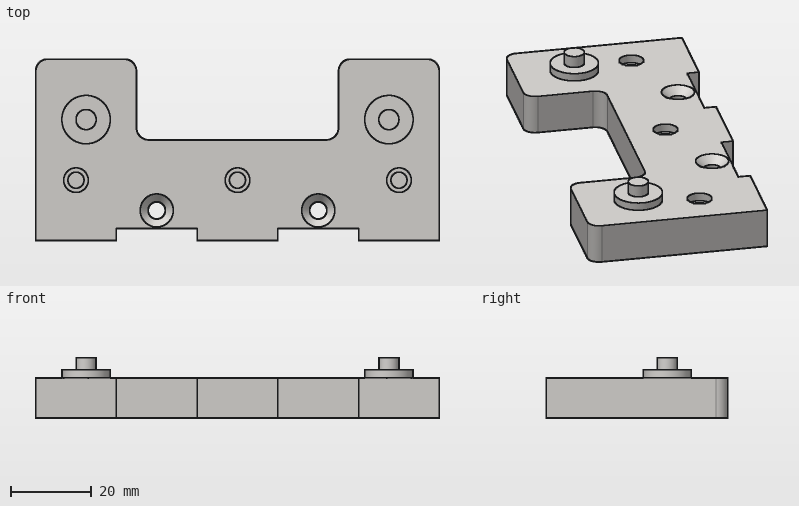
import cadquery as cq

length = 100.0
depth = 45.0
thickness = 10.0
arm_width = 25.0
web_depth = 25.0
corner_radius = 3.0

tooth_width = length / 5
notch_depth = 3.0
notch_starts = (tooth_width, 3 * tooth_width)

pin_inset = 12.5
pin_y = 30.0
collar_diameter = 12.0
collar_height = 2.0
pin_diameter = 5.0
pin_height = 3.0

blind_hole_inset = 10.0
blind_hole_y = 15.0
blind_hole_diameter = 4.0
blind_hole_depth = 2.3
counterbore_diameter = 6.1
counterbore_depth = 2.1

screw_y = 7.5
screw_diameter = 4.2
countersink_diameter = 8.2
countersink_angle = 90.0


def make_plate():
    plate = cq.Workplane("XY").box(length, depth, thickness, centered=False)
    gap = (
        cq.Workplane("XY")
        .box(length - 2 * arm_width, depth - web_depth, thickness, centered=False)
        .translate((arm_width, web_depth, 0))
    )
    plate = plate.cut(gap)
    rounded_edges = cq.selectors.BoxSelector((-1, web_depth - 1, -1), (length + 1, depth + 1, thickness + 1))
    plate = plate.edges("|Z").edges(rounded_edges).fillet(corner_radius)
    for start in notch_starts:
        notch = cq.Workplane("XY").box(tooth_width, notch_depth, thickness, centered=False)
        plate = plate.cut(notch.translate((start, 0, 0)))
    return plate


def make_pin(x):
    return (
        cq.Workplane("XY", origin=(x, pin_y, thickness))
        .circle(collar_diameter / 2)
        .extrude(collar_height)
        .faces(">Z")
        .workplane()
        .circle(pin_diameter / 2)
        .extrude(pin_height)
    )


def top_plane(plate):
    return plate.faces(">Z").workplane(origin=(0, 0, thickness))


plate = make_plate()

blind_points = [(x, blind_hole_y) for x in (blind_hole_inset, length / 2, length - blind_hole_inset)]
plate = (
    top_plane(plate)
    .pushPoints(blind_points)
    .cboreHole(blind_hole_diameter, counterbore_diameter, counterbore_depth, blind_hole_depth)
)

screw_points = [(start + tooth_width / 2, screw_y) for start in notch_starts]
plate = top_plane(plate).pushPoints(screw_points).cskHole(screw_diameter, countersink_diameter, countersink_angle)

result = plate
for x in (pin_inset, length - pin_inset):
    result = result.union(make_pin(x))